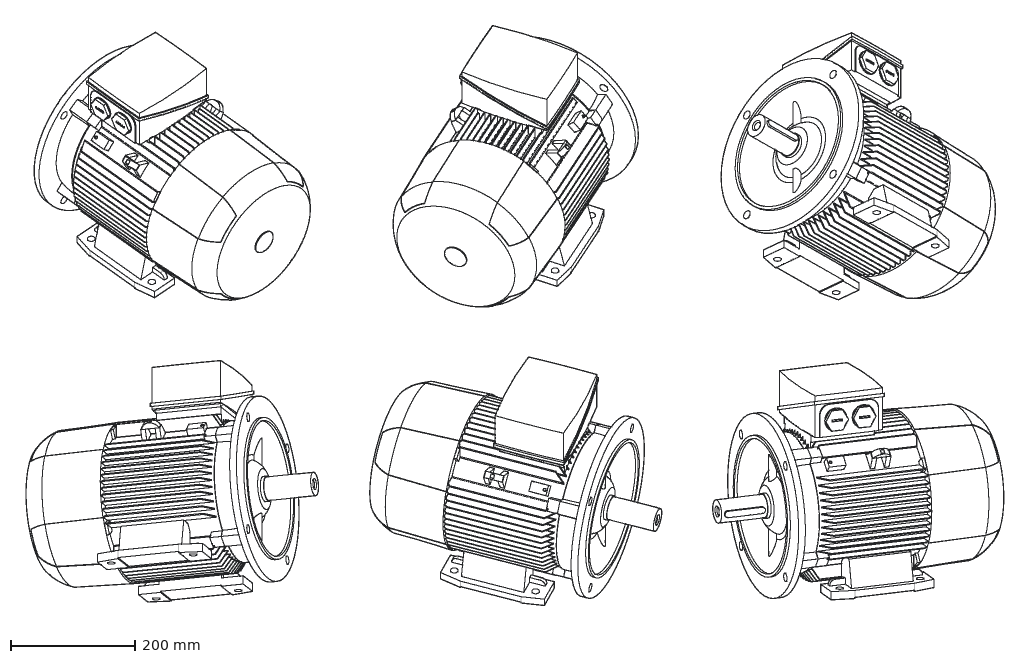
import cadquery as cq
import math


spigot_x = 75.5
flange_x = 80.0
flange_back_x = 91.5
frame_x = 130.5
cover_x = 319.5
cover_shoulder_x = 420.5
cover_back_x = 455.5
overall_length = 465.0

shaft_radius = 19.0
shoulder_radius = 20.5
centre_hole_radius = 6.5
centre_hole_depth = 28.0
centre_sink_radius = 9.0
key_start_x = 4.5
key_end_x = 75.0
key_width = 10.5
key_bottom = 14.0
key_top = 22.5

flange_diameter = 300.0
flange_radius = flange_diameter / 2
spigot_radius = 115.0
mouth_radius = 109.7
bell_front_radius = 111.5
bell_mid_radius = 114.5
bell_back_radius = 115.0
floor_x = 102.5
floor_radius = 57.0
hub_radius = 48.5
hub_face_radius = 33.0
hub_face_x = 85.5
hub_mid_x = 92.5
hub_mid_radius = 42.5
bolt_circle_radius = 132.5
bolt_hole_radius = 7.0
rib_radius = 6.5
rib_axis_x = 96.5
rib_inner = 40.5
rib_outer = 88.5
boss_width = 21.0
boss_reach = 126.5
boss_angle = 35
boss_draft = 12
boss_root = 93.0
boss_end_x = 150.0

core_radius = 112.5
fin_radius = 130.5
fin_start_x = 136.0
fin_full_x = 150.0
fin_end_chamfer = 4.0
fins_per_side = 13
fin_span = 133.0
fin_pitch = fin_span / (fins_per_side - 1)
fin_thickness = 1.65
pedestal_x0 = 140.0
pedestal_x1 = 250.0
pedestal_half_width = 56.5
pedestal_core_half_width = 53.5
pedestal_bottom = 116.0
pedestal_top = 127.5

upper_corner_angles = (-45, 45)
tab_width = 19.0
tab_reach = 128.5
tab_length = 4.5
earth_x0 = 156.0
earth_length = 29.5
earth_width = 17.0
earth_reach = 126.5
earth_hole_x = 160.5
earth_hole_radius = 2.5
earth_hole_depth = 2.5
lug_x = 246.0
lug_width = 32.5
lug_thickness = 10.5
lug_reach = 143.0
lug_gap = 16.7
lug_leg_spread = 13.5
lug_leg_reach = 132.5
lug_mark = 6.0
lug_mark_depth = 1.0

foot_x0 = 149.0
foot_x1 = 328.0
foot_waist_x0 = 186.5
foot_waist_x1 = 290.0
foot_inner_y = 75.5
foot_end_y = 120.5
foot_outer_y = 128.5
foot_bottom = -132.0
foot_top = -118.0
foot_relief = 2.0
leg_top = -71.5
leg_top_y = 106.5
leg_bottom_y = 117.0
leg_x0 = 185.5
leg_x1 = 293.0
foot_hole_x = 169.0
foot_hole_spacing = 140.0
foot_hole_y = 108.0
foot_hole_radius = 6.0
foot_rib_x0 = 158.5
foot_rib_y = 87.5
foot_rib_width = 7.0
foot_rib_height = 10.0
foot_rib_round = 9.5

cover_radius = 130.5
cover_shoulder_radius = 127.0
cover_mid_x = 440.5
cover_mid_radius = 117.5
cover_back_radius = 104.5
cap_radius = 19.5
cap_rim = 2.0
panel_inset = 1.0
panel_start = 57.0
panel_end_x = 451.5

box_x0 = 136.2
box_x1 = 254.0
box_y0 = -83.0
box_y1 = 68.0
box_side_bulge = 4.0
box_end_bulge = 1.0
box_bottom = 131.5
box_top = 202.0
seam_angle = 18.5
seam_slope = math.tan(math.radians(seam_angle))
seam_z = 159.0
rim_height = 5.5
rim_side_overhang = 2.0
rim_end_overhang = 3.0
gland_panel_x0 = 144.0
gland_panel_x1 = 246.0
gland_panel_top = 185.5
gland_panel_radius = 16.5
gland_panel_y = -85.0
plug_xs = (171.0, 219.0)
plug_z = 159.0
plug_washer_radius = 19.0
plug_washer_y = -86.5
plug_across_corners = 39.5
plug_y = -92.0
plug_slot_length = 17.5
plug_slot_width = 3.0
plug_slot_depth = 2.0


def box(x0, x1, y0, y1, z0, z1):
    """Axis-aligned block between the given limits."""
    return cq.Workplane("XY").box(x1 - x0, y1 - y0, z1 - z0, centered=False).translate((x0, y0, z0))


def disc(x0, x1, radius):
    """Cylinder about the shaft axis."""
    return cq.Workplane("YZ", origin=(x0, 0, 0)).circle(radius).extrude(x1 - x0)


def spin(profile):
    """Revolve a profile drawn as (x, radius) about the shaft axis."""
    return profile.close().revolve(360, (0, 0, 0), (1, 0, 0))


def around(body, angle):
    """Turn a body built at the +Z side to an angle around the shaft axis."""
    return body.rotate((0, 0, 0), (1, 0, 0), angle)


def bosses(x0, x1, draft):
    """Four bosses spaced around the axis between two stations; a draft widens their roots."""
    top = boss_width / 2
    root = top + (boss_reach - boss_root) * math.tan(math.radians(draft))
    block = (
        cq.Workplane("YZ", origin=(x0, 0, 0))
        .polyline([(-root, boss_root), (root, boss_root), (top, boss_reach), (-top, boss_reach)])
        .close()
        .extrude(x1 - x0)
    )
    ring = around(block, boss_angle)
    for quarter in range(1, 4):
        ring = ring.union(around(block, boss_angle + 90 * quarter))
    return ring


def make_key():
    length = key_end_x - key_start_x
    return (
        cq.Workplane("XZ", origin=((key_start_x + key_end_x) / 2, -key_bottom, 0))
        .slot2D(length, key_width)
        .extrude(key_top - key_bottom)
    )


def make_shaft():
    shaft = disc(0, flange_x, shaft_radius).union(disc(flange_x, frame_x, shoulder_radius))
    centre_hole = spin(
        cq.Workplane("XY")
        .lineTo(0, centre_sink_radius)
        .lineTo(centre_sink_radius - centre_hole_radius, centre_hole_radius)
        .lineTo(centre_hole_depth, centre_hole_radius)
        .lineTo(centre_hole_depth + centre_hole_radius, 0)
    )
    return shaft.cut(centre_hole).cut(make_key())


def make_end_shield():
    shield = spin(
        cq.Workplane("XY")
        .moveTo(hub_face_x, 0)
        .lineTo(hub_face_x, hub_face_radius)
        .threePointArc((hub_mid_x, hub_mid_radius), (floor_x, hub_radius))
        .lineTo(floor_x, floor_radius)
        .lineTo(flange_x, mouth_radius)
        .lineTo(spigot_x, mouth_radius)
        .lineTo(spigot_x, spigot_radius)
        .lineTo(flange_x, spigot_radius)
        .lineTo(flange_x, flange_radius)
        .lineTo(flange_back_x, flange_radius)
        .lineTo(flange_back_x, bell_front_radius)
        .threePointArc(
            ((flange_back_x + frame_x) / 2, bell_mid_radius),
            (frame_x, bell_back_radius),
        )
        .lineTo(frame_x, 0)
    )
    shield = shield.union(bosses(flange_back_x, frame_x, boss_draft))
    for side in (0, 180):
        rib = (
            cq.Workplane("XY", origin=(rib_axis_x, 0, rib_inner))
            .circle(rib_radius)
            .extrude(rib_outer - rib_inner)
        )
        shield = shield.union(around(rib, side))
    bolt_holes = (
        cq.Workplane("YZ", origin=(flange_x, 0, 0))
        .polarArray(bolt_circle_radius, 45, 360, 4)
        .circle(bolt_hole_radius)
        .extrude(flange_back_x - flange_x)
    )
    return shield.cut(bolt_holes).cut(disc(flange_x, frame_x, shoulder_radius))


def box_neck():
    """Flared neck between the frame pedestal and the terminal box."""
    return (
        cq.Workplane("XY", origin=((pedestal_x0 + pedestal_x1) / 2, 0, pedestal_top))
        .rect(pedestal_x1 - pedestal_x0, 2 * pedestal_half_width)
        .extrude(box_bottom - pedestal_top, taper=-45)
    )


def cooling_fins():
    """Parallel fins on all four sides, trimmed to a round envelope with sloping ends."""
    envelope = spin(
        cq.Workplane("XY")
        .moveTo(fin_start_x, 0)
        .lineTo(fin_start_x, core_radius)
        .lineTo(fin_full_x, fin_radius)
        .lineTo(cover_x - fin_end_chamfer, fin_radius)
        .lineTo(cover_x, fin_radius - fin_end_chamfer)
        .lineTo(cover_x, 0)
    )
    slabs = cq.Workplane("XY")
    for index in range(fins_per_side):
        offset = index * fin_pitch - fin_span / 2
        low = offset - fin_thickness / 2
        high = offset + fin_thickness / 2
        slabs = slabs.union(box(fin_start_x, cover_x, -fin_radius, fin_radius, low, high))
        slabs = slabs.union(box(fin_start_x, cover_x, low, high, -fin_radius, fin_radius))
    return slabs.intersect(envelope)


def pedestal():
    """Seat of the terminal box, slightly wider above the tops of the outer fins it covers."""
    filler = box(
        pedestal_x0,
        pedestal_x1,
        -pedestal_core_half_width,
        pedestal_core_half_width,
        boss_root,
        pedestal_top,
    )
    seat = box(
        pedestal_x0,
        pedestal_x1,
        -pedestal_half_width,
        pedestal_half_width,
        pedestal_bottom,
        pedestal_top,
    )
    return filler.union(seat)


def earth_block():
    block = box(
        earth_x0, earth_x0 + earth_length, -earth_width / 2, earth_width / 2, boss_root, earth_reach
    )
    hole = (
        cq.Workplane("XY", origin=(earth_hole_x, 0, earth_reach - earth_hole_depth))
        .circle(earth_hole_radius)
        .extrude(earth_hole_depth)
    )
    return block.cut(hole)


def lifting_lug():
    """Round-ended arch standing on two legs that widen towards the frame."""
    half_width = lug_width / 2
    half_thickness = lug_thickness / 2
    plate = (
        cq.Workplane("XZ", origin=(lug_x, half_thickness, 0))
        .moveTo(-half_width, boss_root)
        .lineTo(-half_width, lug_reach - half_width)
        .threePointArc((0, lug_reach), (half_width, lug_reach - half_width))
        .lineTo(half_width, boss_root)
        .close()
        .extrude(lug_thickness)
    )
    legs = (
        cq.Workplane("YZ", origin=(lug_x - half_width, 0, 0))
        .polyline(
            [
                (-lug_leg_spread, boss_root),
                (-lug_leg_spread, core_radius),
                (-half_thickness, lug_leg_reach),
                (half_thickness, lug_leg_reach),
                (lug_leg_spread, core_radius),
                (lug_leg_spread, boss_root),
            ]
        )
        .close()
        .extrude(lug_width)
    )
    opening = box(
        lug_x - lug_gap / 2,
        lug_x + lug_gap / 2,
        -lug_leg_spread,
        lug_leg_spread,
        boss_root,
        lug_leg_reach,
    )
    mark = (
        cq.Workplane("XY", origin=(lug_x, 0, lug_reach - lug_mark_depth))
        .rect(lug_mark, lug_mark)
        .extrude(lug_mark_depth)
    )
    return plate.union(legs).cut(opening).cut(mark)


def foot():
    """Foot on the -Y side: a waisted plate, a sloping leg, two ribs and two bolt holes."""
    plate = (
        cq.Workplane("XY", origin=(0, 0, foot_bottom))
        .polyline(
            [
                (foot_x0, -foot_inner_y),
                (foot_x0, -foot_end_y),
                (foot_waist_x0, -foot_outer_y),
                (foot_waist_x1, -foot_outer_y),
                (foot_x1, -foot_end_y),
                (foot_x1, -foot_inner_y),
            ]
        )
        .close()
        .extrude(foot_top - foot_bottom)
    )
    plate = plate.cut(
        box(
            foot_waist_x0,
            foot_waist_x1,
            -foot_outer_y,
            -foot_inner_y,
            foot_bottom,
            foot_bottom + foot_relief,
        )
    )
    leg = (
        cq.Workplane("YZ", origin=(leg_x0, 0, 0))
        .moveTo(-leg_top_y, leg_top)
        .lineTo(-leg_bottom_y, foot_top)
        .lineTo(-foot_inner_y, foot_top)
        .lineTo(-foot_inner_y, leg_top)
        .close()
        .extrude(leg_x1 - leg_x0)
    )
    rib_x1 = leg_x0 + leg_x1 - foot_rib_x0
    ribs = box(
        foot_rib_x0,
        rib_x1,
        -foot_rib_y - foot_rib_width / 2,
        -foot_rib_y + foot_rib_width / 2,
        foot_top,
        foot_top + foot_rib_height,
    )
    ribs = ribs.edges("|Y and >Z").fillet(foot_rib_round)
    holes = (
        cq.Workplane("XY", origin=(0, 0, foot_bottom))
        .pushPoints(
            [
                (foot_hole_x, -foot_hole_y),
                (foot_hole_x + foot_hole_spacing, -foot_hole_y),
            ]
        )
        .circle(foot_hole_radius)
        .extrude(foot_top - foot_bottom)
    )
    return plate.cut(holes).union(leg).union(ribs)


def make_frame():
    frame = disc(frame_x, cover_x, core_radius).union(cooling_fins())
    frame = frame.union(bosses(frame_x, boss_end_x, 0))
    frame = frame.union(pedestal())
    tab = box(cover_x - tab_length, cover_x, -tab_width / 2, tab_width / 2, boss_root, tab_reach)
    for quarter in range(4):
        frame = frame.union(around(tab, 90 - boss_angle + 90 * quarter))
    for angle in upper_corner_angles:
        frame = frame.union(around(earth_block(), angle))
        frame = frame.union(around(lifting_lug(), angle))
    frame = frame.cut(box_neck())
    frame = frame.union(foot())
    return frame.union(foot().mirror("XZ"))


def cover_body(inset):
    """Cover without its cap, shrunk radially by the inset."""
    return spin(
        cq.Workplane("XY")
        .moveTo(cover_x, 0)
        .lineTo(cover_x, cover_radius - inset)
        .lineTo(cover_shoulder_x, cover_shoulder_radius - inset)
        .threePointArc(
            (cover_mid_x, cover_mid_radius - inset),
            (cover_back_x, cover_back_radius - inset),
        )
        .lineTo(cover_back_x, 0)
    )


def make_fan_cover():
    corner = box(cover_x, panel_end_x, panel_start, cover_radius, panel_start, cover_radius)
    skin = cover_body(0).cut(cover_body(panel_inset))
    cover = cover_body(0)
    for quarter in range(4):
        cover = cover.cut(around(corner, 90 * quarter).intersect(skin))
    cap_base_x = cover_back_x + cap_rim
    cap_height = overall_length - cap_base_x
    sphere_radius = (cap_radius**2 + cap_height**2) / (2 * cap_height)
    half_angle = math.asin(cap_radius / sphere_radius) / 2
    cap = spin(
        cq.Workplane("XY")
        .moveTo(cover_back_x, 0)
        .lineTo(cover_back_x, cap_radius)
        .lineTo(cap_base_x, cap_radius)
        .threePointArc(
            (
                overall_length - sphere_radius * (1 - math.cos(half_angle)),
                sphere_radius * math.sin(half_angle),
            ),
            (overall_length, 0),
        )
    )
    return cover.union(cap)


def box_column(side_overhang, end_overhang):
    """Full-height column with the slightly bulged outline of the terminal box."""
    x0 = box_x0 - side_overhang
    x1 = box_x1 + side_overhang
    y0 = box_y0 - end_overhang
    y1 = box_y1 + end_overhang
    mid_x = (x0 + x1) / 2
    mid_y = (y0 + y1) / 2
    return (
        cq.Workplane("XY", origin=(0, 0, box_bottom))
        .moveTo(x0, y0)
        .threePointArc((mid_x, y0 - box_end_bulge), (x1, y0))
        .threePointArc((x1 + box_side_bulge, mid_y), (x1, y1))
        .threePointArc((mid_x, y1 + box_end_bulge), (x0, y1))
        .threePointArc((x0 - box_side_bulge, mid_y), (x0, y0))
        .close()
        .extrude(box_top - box_bottom)
    )


def sloping_layer(z0, z1):
    """Layer parallel to the lid seam, given by its heights above the shaft axis."""
    reach = flange_radius
    drop = reach * seam_slope
    return (
        cq.Workplane("YZ")
        .polyline([(-reach, z0 + drop), (reach, z0 - drop), (reach, z1 - drop), (-reach, z1 + drop)])
        .close()
        .extrude(overall_length)
    )


def make_lid():
    shell = box_column(0, 0).intersect(sloping_layer(seam_z, seam_z + box_top))
    rim = box_column(rim_side_overhang, rim_end_overhang)
    return shell.union(rim.intersect(sloping_layer(seam_z, seam_z + rim_height)))


def cable_plug(x):
    """Slotted hexagon plug on a round washer, facing -Y."""
    face = cq.Workplane("XZ", origin=(x, box_y0, plug_z))
    washer = face.circle(plug_washer_radius).extrude(box_y0 - plug_washer_y)
    head = face.polygon(6, plug_across_corners).extrude(box_y0 - plug_y)
    slot = (
        cq.Workplane("XZ", origin=(x, plug_y + plug_slot_depth, plug_z))
        .rect(plug_slot_length, plug_slot_width)
        .extrude(plug_slot_depth)
    )
    return washer.union(head).cut(slot)


def make_terminal_box():
    base = box_column(0, 0).intersect(sloping_layer(seam_z - box_top, seam_z))
    gland_panel = box(
        gland_panel_x0, gland_panel_x1, gland_panel_y, box_y0, box_bottom, gland_panel_top
    )
    gland_panel = gland_panel.edges("|Y and >Z").fillet(gland_panel_radius)
    base = base.union(box_neck()).union(gland_panel)
    for x in plug_xs:
        base = base.union(cable_plug(x))
    return base


shaft = make_shaft()
key = make_key()
end_shield = make_end_shield()
frame = make_frame()
fan_cover = make_fan_cover()
terminal_box = make_terminal_box()
lid = make_lid()

result = cq.Compound.makeCompound(
    [
        shaft.val(),
        key.val(),
        end_shield.val(),
        frame.val(),
        fan_cover.val(),
        terminal_box.val(),
        lid.val(),
    ]
)